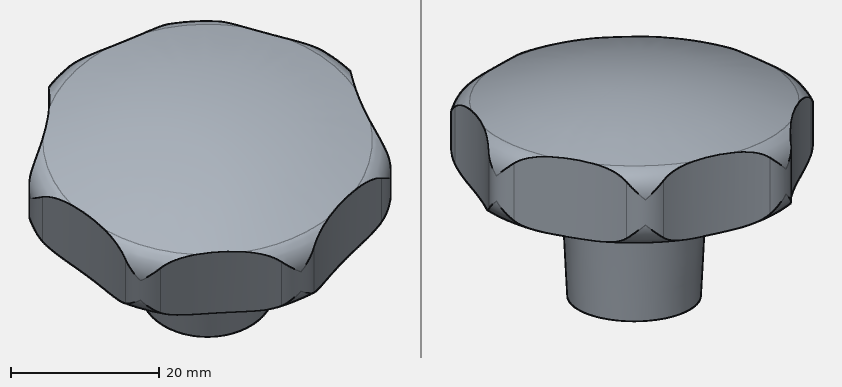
import cadquery as cq
import math

lobe_count = 7
tip_radius = 25.0
waist_radius = 21.9
edge_round = 4.0
total_height = 32.0
stem_height = 17.0
stem_top_radius = 9.9
stem_foot_radius = 9.05
shoulder_drop = 7.35

round_centre = tip_radius - edge_round
shoulder_z = total_height - shoulder_drop

half_pitch = math.pi / lobe_count
rise = waist_radius - round_centre * math.cos(half_pitch)
half_span = round_centre * math.sin(half_pitch)
scallop_radius = (half_span**2 + rise**2 - edge_round**2) / (2 * (edge_round - rise))
scallop_centre = waist_radius + scallop_radius

dome_radius = (round_centre**2 + shoulder_drop**2 - edge_round**2) / (2 * (shoulder_drop - edge_round))
dome_centre_z = total_height - dome_radius


def polar(radius, angle):
    return (radius * math.cos(angle), radius * math.sin(angle))


def dome_point(angle):
    """Point (r, z) on the dome, at an angle measured from the axis."""
    return (dome_radius * math.sin(angle), dome_centre_z + dome_radius * math.cos(angle))


def rim_point(angle):
    """Point (r, z) on the upper rim rounding, at an angle measured from the axis."""
    return (round_centre + edge_round * math.sin(angle), shoulder_z + edge_round * math.cos(angle))


def make_domed_disc():
    """Head before scalloping: flat underside, rounded rim and shallow dome."""
    dome_edge = math.atan2(round_centre, shoulder_z - dome_centre_z)
    rim_middle = (dome_edge + math.pi / 2) / 2
    lower_round_z = stem_height + edge_round
    lower_middle = (
        round_centre + edge_round * math.sqrt(0.5),
        lower_round_z - edge_round * math.sqrt(0.5),
    )
    return (
        cq.Workplane("XZ")
        .moveTo(0, stem_height)
        .lineTo(round_centre, stem_height)
        .threePointArc(lower_middle, (tip_radius, lower_round_z))
        .lineTo(tip_radius, shoulder_z)
        .threePointArc(rim_point(rim_middle), rim_point(dome_edge))
        .threePointArc(dome_point(dome_edge / 2), (0, total_height))
        .close()
        .revolve(360, (0, 0, 0), (0, 1, 0))
    )


def make_lobed_prism():
    """Upright prism with round lobes, one pointing along +Y, joined by tangent scallops."""

    def tangent_point(lobe_angle, side):
        lobe = polar(round_centre, lobe_angle)
        scallop = polar(scallop_centre, lobe_angle + side * half_pitch)
        share = edge_round / (edge_round + scallop_radius)
        return tuple(a + share * (b - a) for a, b in zip(lobe, scallop))

    first_lobe = math.pi / 2
    outline = cq.Workplane("XY").moveTo(*tangent_point(first_lobe, -1))
    for index in range(lobe_count):
        lobe_angle = first_lobe + index * 2 * half_pitch
        next_lobe = lobe_angle + 2 * half_pitch
        outline = outline.threePointArc(polar(tip_radius, lobe_angle), tangent_point(lobe_angle, 1))
        outline = outline.threePointArc(
            polar(waist_radius, lobe_angle + half_pitch), tangent_point(next_lobe, -1)
        )
    return outline.close().extrude(total_height)


def make_stem():
    """Solid stem, widening upwards to the underside of the head."""
    return (
        cq.Workplane("XZ")
        .polyline([(0, 0), (stem_foot_radius, 0), (stem_top_radius, stem_height), (0, stem_height)])
        .close()
        .revolve(360, (0, 0, 0), (0, 1, 0))
    )


head = make_domed_disc().intersect(make_lobed_prism())
result = head.union(make_stem())